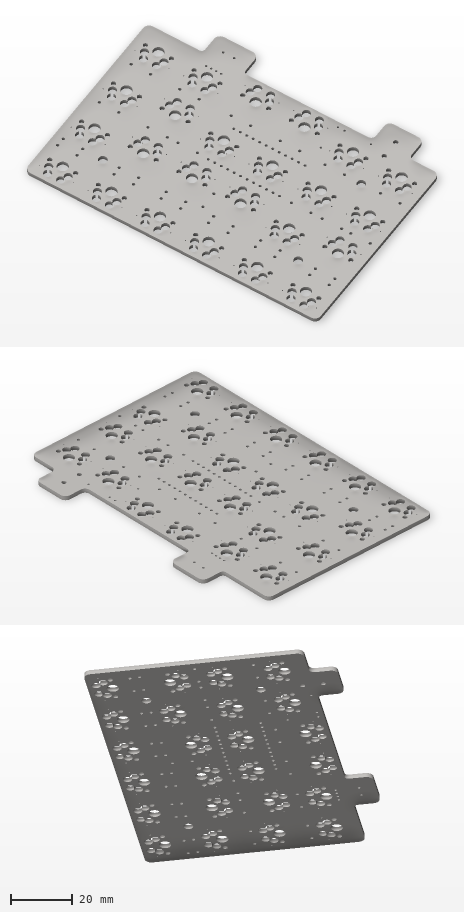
import cadquery as cq

plate_length = 114.2
plate_depth = 73.0
overall_depth = 82.0
thickness = 1.6
corner_radius = 2.3
bottom_edge = -overall_depth / 2
body_edge = bottom_edge + plate_depth

tabs = [
    (-35.3, -19.4, 2.4, 1.4),
    (31.1, 45.1, 2.2, 1.9),
]

columns = 6
rows = 4
key_field_margin = 0.1
key_pitch = (plate_length - 2 * key_field_margin) / columns
grid = key_pitch / 15
bottom_row_y = -32.9
flipped_keys = [(1, 1), (2, 1), (3, 1), (5, 1), (1, 2), (2, 3), (3, 3)]

stem_diameter = 4.0
peg_diameter = 1.7
peg_offset = 4 * grid
socket_diameter = 3.0
near_socket_offset = 3 * grid
near_socket_drop = 2 * grid
far_socket_offset = 2 * grid
far_socket_drop = 4 * grid
lamp_diameter = 0.4
lamp_side_offset = 6.6
lamp_drop = 3.8

diode_diameter = 1.1
diode_span = 6 * grid
diode_rows = [
    (15.0, [-48.3, -29.4, -9.3, 9.9]),
    (14.7, [27.5, 49.2]),
    (-4.0, [-48.3, -29.4, -17.6]),
    (-4.6, [27.1, 39.1, 50.3]),
    (-23.2, [-49.8, -28.0, -9.6, 8.9, 27.3, 48.7]),
    (-26.4, [-49.9, -27.9, -9.5, 9.0, 27.3, 48.5]),
]

controller_diameter = 1.0
controller_pins = 12
controller_pitch = 2 * grid
controller_start_x = -9.4
controller_front_y = -4.3
controller_row_gap = 12 * grid

display_diameter = 0.8
display_pins = 4
display_pitch = 1.9
display_start_x = -31.2
display_y = 27.8

tab_pin_diameter = 0.9
tab_pins = [(-29.7, 35.5), (-25.4, 35.5)]
jack_diameter = 0.8
jack_pins = [(18.7, 30.0), (21.4, 30.0), (31.6, 30.0), (18.7, 19.9)]
button_diameter = 1.1
button_pins = [(0, -15.3), (0, -21.8)]
tab_screw_diameter = 1.7
tab_screws = [(37.9, 35.2), (37.9, 28.3)]
screw_diameter = 3.2
screws = [(38.0, 14.5), (-38.0, -23.4), (38.3, -23.4)]


def make_tab(left, right, outer_radius):
    """Tab that runs into the body, rounded at its two outer corners."""
    depth = overall_depth - plate_depth + corner_radius
    tab = cq.Workplane("XY").box(right - left, depth, thickness, centered=(False, False, False))
    tab = tab.edges("|Z and >Y").fillet(outer_radius)
    return tab.translate((left, overall_depth / 2 - depth, 0))


def make_plate():
    """Body and tabs in one piece, with the corners between them rounded."""
    plate = cq.Workplane("XY").box(plate_length, plate_depth, thickness, centered=(True, False, False))
    plate = plate.edges("|Z").fillet(corner_radius).translate((0, bottom_edge, 0))
    for left, right, outer_radius, inner_radius in tabs:
        plate = plate.union(make_tab(left, right, outer_radius))
        for x in (left, right):
            inner_corner = cq.selectors.NearestToPointSelector((x, body_edge, thickness / 2))
            plate = plate.edges(inner_corner).fillet(inner_radius)
    return plate


def drill(plate, points, diameter):
    """Round holes of one diameter through the plate."""
    holes = cq.Workplane("XY").pushPoints(points).circle(diameter / 2).extrude(thickness)
    return plate.cut(holes)


def drill_keys(plate):
    stems = []
    pegs = []
    sockets = []
    lamps = []
    for row in range(rows):
        for column in range(columns):
            x = (column - (columns - 1) / 2) * key_pitch
            y = bottom_row_y + row * key_pitch
            direction = 1 if (column, row) in flipped_keys else -1
            stems.append((x, y))
            for side in (-1, 1):
                pegs.append((x + side * peg_offset, y))
                sockets.append((x + side * near_socket_offset, y + direction * near_socket_drop))
                sockets.append((x + side * far_socket_offset, y + direction * far_socket_drop))
                lamps.append((x + side * lamp_side_offset, y + direction * lamp_drop))
    plate = drill(plate, stems, stem_diameter)
    plate = drill(plate, pegs, peg_diameter)
    plate = drill(plate, sockets, socket_diameter)
    return drill(plate, lamps, lamp_diameter)


def drill_diodes(plate):
    leads = []
    for y, centres in diode_rows:
        for x in centres:
            leads.append((x - diode_span / 2, y))
            leads.append((x + diode_span / 2, y))
    return drill(plate, leads, diode_diameter)


def drill_controller(plate):
    pins = []
    for y in (controller_front_y, controller_front_y + controller_row_gap):
        for i in range(controller_pins):
            pins.append((controller_start_x + i * controller_pitch, y))
    return drill(plate, pins, controller_diameter)


def drill_display(plate):
    pins = [(display_start_x + i * display_pitch, display_y) for i in range(display_pins)]
    return drill(plate, pins, display_diameter)


result = make_plate()
result = drill_keys(result)
result = drill_diodes(result)
result = drill_controller(result)
result = drill_display(result)
result = drill(result, tab_pins, tab_pin_diameter)
result = drill(result, jack_pins, jack_diameter)
result = drill(result, button_pins, button_diameter)
result = drill(result, tab_screws, tab_screw_diameter)
result = drill(result, screws, screw_diameter)